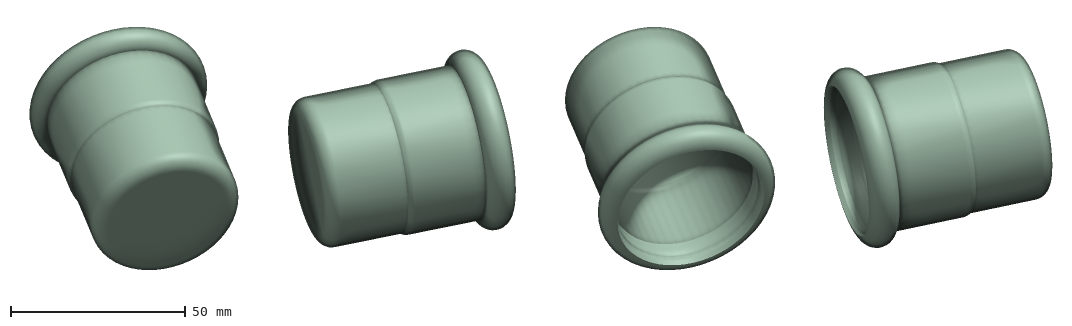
import cadquery as cq
import math

length = 56.0
socket_radius = 45.4 / 2
spigot_radius = 44.0 / 2
socket_bore_radius = 42.4 / 2
spigot_bore_radius = 41.0 / 2
cup_radius = 40.0 / 2

step_start = 30.1
step_length = 2.0
step_end = step_start + step_length

end_round = 4.0
end_thickness = spigot_radius - cup_radius
inner_round = end_round - end_thickness
round_start = length - end_round
floor_x = length - end_thickness
floor_radius = spigot_radius - end_round

bead_radius = 4.55
bead_outer_radius = 52.7 / 2
bead_center_radius = bead_outer_radius - bead_radius
bead_end = bead_radius + math.sqrt(bead_radius**2 - (socket_radius - bead_center_radius) ** 2)

lip_radius = 22.0
mouth_radius = 42.7 / 2
mouth_start = 1.4
seal_start = 3.25
seal_flat_start = 5.55
seal_flat_end = 7.85
seal_radius = 20.85
bore_start = 9.2


def arc_middle(tangent_point, other_point):
    """Middle of the arc joining two points that runs parallel to the axis at the first."""
    tangent_x, tangent_radius = tangent_point
    run = other_point[0] - tangent_x
    rise = other_point[1] - tangent_radius
    half_angle = math.atan2(abs(rise), abs(run))
    arc_radius = (run**2 + rise**2) / (2 * abs(rise))
    middle_x = tangent_x + math.copysign(arc_radius * math.sin(half_angle), run)
    middle_radius = tangent_radius + math.copysign(arc_radius * (1 - math.cos(half_angle)), rise)
    return (middle_x, middle_radius)


def arc_tangent_at_start(profile, start, end):
    return profile.threePointArc(arc_middle(start, end), end)


def arc_tangent_at_end(profile, start, end):
    return profile.threePointArc(arc_middle(end, start), end)


def round_middle(start_x, center_radius, radius):
    """Point halfway along a quarter round at the closed end."""
    offset = radius * math.sqrt(0.5)
    return (start_x + offset, center_radius + offset)


def outer_body():
    profile = cq.Workplane("XY").moveTo(0, 0).lineTo(0, lip_radius)
    profile = profile.threePointArc((bead_radius, bead_outer_radius), (bead_end, socket_radius))
    profile = profile.lineTo(step_start, socket_radius)
    profile = arc_tangent_at_start(profile, (step_start, socket_radius), (step_end, spigot_radius))
    profile = profile.lineTo(round_start, spigot_radius)
    profile = profile.threePointArc(
        round_middle(round_start, floor_radius, end_round), (length, floor_radius)
    )
    return profile.lineTo(length, 0).close().revolve(360, (0, 0, 0), (1, 0, 0))


def cavity():
    profile = cq.Workplane("XY").moveTo(0, 0).lineTo(0, lip_radius)
    profile = profile.lineTo(mouth_start, mouth_radius).lineTo(seal_start, mouth_radius)
    profile = arc_tangent_at_end(profile, (seal_start, mouth_radius), (seal_flat_start, seal_radius))
    profile = profile.lineTo(seal_flat_end, seal_radius)
    profile = arc_tangent_at_end(
        profile, (seal_flat_end, seal_radius), (bore_start, socket_bore_radius)
    )
    profile = profile.lineTo(step_start, socket_bore_radius)
    profile = arc_tangent_at_start(profile, (step_start, socket_bore_radius), (step_end, spigot_bore_radius))
    profile = profile.lineTo(round_start, spigot_bore_radius).lineTo(round_start, cup_radius)
    profile = profile.threePointArc(
        round_middle(round_start, floor_radius, inner_round), (floor_x, floor_radius)
    )
    return profile.lineTo(floor_x, 0).close().revolve(360, (0, 0, 0), (1, 0, 0))


result = outer_body().cut(cavity())